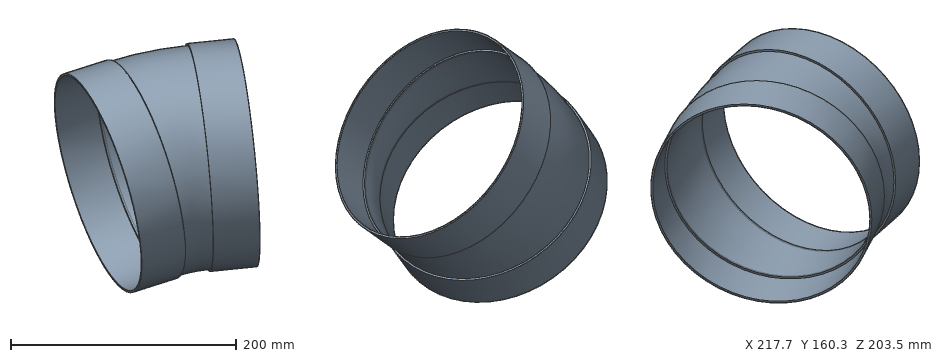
import cadquery as cq
import math

bend_angle = 15.0
collar_diameter = 203.5
body_diameter = 200.0
body_bore = 196.5
collar_bore = body_diameter
collar_length = 41.8
seat_length = 1.7
bend_radius = body_diameter

bend_start = (0, collar_length)
angle = math.radians(bend_angle)
bend_end = (
    bend_radius * (1 - math.cos(angle)),
    collar_length + bend_radius * math.sin(angle),
)
bend_center_x = bend_radius


def make_collar():
    """Collar along +Y with its open mouth at Y = 0 and a shoulder at the body end."""
    shell = cq.Workplane("XZ").circle(collar_diameter / 2).extrude(-collar_length)
    socket = cq.Workplane("XZ").circle(collar_bore / 2).extrude(-(collar_length - seat_length))
    bore = cq.Workplane("XZ").circle(body_bore / 2).extrude(-collar_length)
    return shell.cut(socket).cut(bore)


def make_bend():
    """Tube revolved through the bend angle about a Z axis through the bend center."""
    return (
        cq.Workplane("XZ", origin=(0, collar_length, 0))
        .circle(body_diameter / 2)
        .circle(body_bore / 2)
        .revolve(bend_angle, (bend_center_x, 2.2, 0), (bend_center_x, 0, 0))
    )


inlet_collar = make_collar()

outlet_collar = (
    make_collar()
    .mirror("XZ")
    .translate((0, collar_length, 0))
    .rotate((0, 0, 0), (0, 0, 1), -bend_angle)
    .translate((bend_end[0], bend_end[1], 0))
)

result = make_bend().union(inlet_collar).union(outlet_collar)